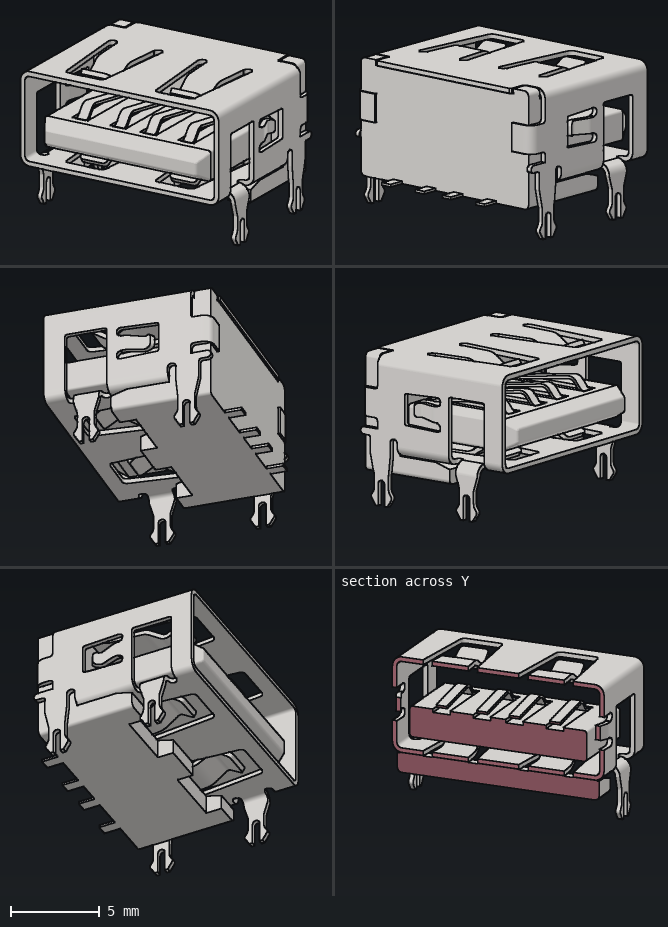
import cadquery as cq
import math


SHEET = 0.3
SHELL_WIDTH = 13.1
SHELL_HEIGHT = 5.7
SHELL_LENGTH = 10.0
SHELL_BOTTOM = 1.18
BEND_RADIUS = 0.3
SHELL_TOP = SHELL_BOTTOM + SHELL_HEIGHT
SHELL_MID_Z = (SHELL_BOTTOM + SHELL_TOP) / 2
SIDE_X = SHELL_WIDTH / 2
INNER_X = SIDE_X - SHEET
INNER_TOP = SHELL_TOP - SHEET
INNER_BOTTOM = SHELL_BOTTOM + SHEET
OUTER_RADIUS = BEND_RADIUS + SHEET
CLEAR = 1.0

LEG_HALF_WIDTH = 0.505
LEG_TIP_Z = -1.82
LEG_NECK_Z = -0.04
LEG_SLOT_RADIUS = 0.215
LEG_SLOT_TOP = -0.33
BARB_TOP_Z = -0.76
BARB_FLARE_Z = -1.055
BARB_FLARE = 0.094
BARB_FLARE_RADIUS = 0.515
BARB_UPPER_Z = -1.2
BARB_LOWER_Z = -1.39
BARB_SHOULDER_HALF = 0.7
BARB_HALF_WIDTH = 0.72
TIP_HALF_WIDTH = 0.42
LEG_PITCH = 6.0
FRONT_LEG_Y = 2.535
REAR_LEG_Y = FRONT_LEG_Y + LEG_PITCH
FRONT_LEG_BEND = 0.39
SHOULDER_HALF_WIDTH = 0.76

WINDOW_LENGTH = 2.5
WINDOW_TOP = 5.16
WINDOW_RADIUS = 0.15
NOTCH_RADIUS = (WINDOW_LENGTH / 2 - SHOULDER_HALF_WIDTH) / 2
NOTCH_X = 5.9

FLOOR_END_Y = 7.41
REAR_SLOT_RADIUS = 0.25
REAR_EDGE_TOP = 2.18
FINGER_TOP = 2.62
FINGER_CORNER = 0.15
REAR_TAPER_Z = 1.1
WRAP_BOTTOM = 3.25
WRAP_TOP = 4.92
WRAP_END_X = 5.11
NOTCH_FRONT_Y = 8.8
NOTCH_CORNER = 0.2
TOP_NOTCH_X = 5.02
TOP_NOTCH_CORNER = 0.12
TOP_EDGE_CHAMFER = 0.1

SPRING_X = 2.96
SLOT_FRONT_Y = 0.98
SLOT_REAR_Y = 6.78
SLOT_END_RADIUS = 0.265
SLOT_FRONT_HALF = 1.255
SLOT_REAR_HALF = 1.77
SLOT_CORNER = 0.27
SPRING_TIP_Y = 1.9
SPRING_TIP_HALF = 0.86
SPRING_ROOT_HALF = 1.24
SPRING_TIP_CORNER = 0.25
SPRING_KNEE_Y = 4.24
SPRING_PEAK_Y = 3.04
SPRING_PEAK = 0.76
SPRING_KNEE_RADIUS = 0.8
SPRING_PEAK_RADIUS = 0.25

SIDE_SPRING_Z = 4.02
SIDE_SLOT_FRONT_Y = 4.37
SIDE_SLOT_REAR_Y = 6.88
SIDE_SLOT_FRONT_HALF = 1.0
SIDE_SLOT_REAR_HALF = 0.91
SIDE_SLOT_CORNER = 0.12
SIDE_SLOT_END_RADIUS = 0.25
SIDE_SPRING_ROOT_HALF = 0.48
SIDE_SPRING_TIP_HALF = 0.38
SIDE_SPRING_TIP_Y = 6.5
SIDE_SPRING_TIP_CORNER = 0.2
SIDE_SPRING_KNEE_Y = 4.85
SIDE_SPRING_PEAK_Y = 5.97
SIDE_SPRING_PEAK = 0.46
SIDE_SPRING_TIP = 0.1
SIDE_SPRING_KNEE_RADIUS = 0.35
SIDE_SPRING_PEAK_RADIUS = 0.2

INSULATOR_BACK_Y = 9.88
INSULATOR_RADIUS = 0.3
CORNER_GAP = 0.1
LUG_FRONT_Y = 3.93
LUG_FRONT_TOP = 0.9
LUG_RAMP_END_Y = 4.89
LUG_POCKET_INNER_X = 1.2
LUG_POCKET_OUTER_X = 4.73
TONGUE_HALF_WIDTH = 5.48
TONGUE_BOTTOM = 2.2
TONGUE_TOP = 4.05
TONGUE_RADIUS = 0.2
TONGUE_TIP_Y = 0.05
TONGUE_TAPER_Y = 0.9
TONGUE_TAPER = 0.48
TONGUE_TIP_RADIUS = 0.19

CONTACT_X = (-3.5, -1.0, 1.0, 3.5)
CONTACT_WIDTH = 0.66
CONTACT_THICKNESS = 0.16
GROOVE_WIDTH = 1.04
GROOVE_FRONT_Y = 1.455
GROOVE_DEPTH = 0.2
CONTACT_PEAK_Y = 2.44
CONTACT_PEAK_Z = 4.765
CONTACT_FOOT_Y = 1.82
CONTACT_ROOT_Z = 4.03
CONTACT_FOOT_RADIUS = 0.3
CONTACT_PEAK_RADIUS = 0.45
TAIL_END_Y = 10.88


def box(x0, x1, y0, y1, z0, z1):
    """Block between the given limits."""
    return cq.Workplane("XY").box(x1 - x0, y1 - y0, z1 - z0, centered=False).translate((x0, y0, z0))


def both_sides(half):
    """A right-hand feature together with its mirror image on the left."""
    return half.union(half.mirror("YZ"))


def bent_sheet(plane, path, radii, thickness, start, end):
    """Sheet whose right-hand face follows `path`; `radii` are the inside radii of its bends."""
    headings = [math.atan2(q[1] - p[1], q[0] - p[0]) for p, q in zip(path, path[1:])]
    first_half = headings[:1] + headings
    second_half = headings + headings[-1:]
    far_side = []
    for (u, v), before, after in zip(path, first_half, second_half):
        normal = (before + after) / 2 + math.pi / 2
        miter = thickness / math.cos((after - before) / 2)
        far_side.append((u + miter * math.cos(normal), v + miter * math.sin(normal)))
    sheet = cq.Workplane(plane).workplane(offset=start)
    sheet = sheet.polyline(path + far_side[::-1]).close().extrude(end - start)
    base = cq.Plane.named(plane)
    middle = (start + end) / 2
    for i, radius in enumerate(radii, start=1):
        turns_left = headings[i] > headings[i - 1]
        near_radius = radius + thickness if turns_left else radius
        far_radius = radius if turns_left else radius + thickness
        for (u, v), fillet in ((path[i], near_radius), (far_side[i], far_radius)):
            corner = base.toWorldCoords((u, v, middle))
            sheet = sheet.edges(cq.selectors.NearestToPointSelector(corner.toTuple())).fillet(fillet)
    return sheet


def shell_tube():
    """Plain rectangular sleeve with bent corners."""
    outer = box(-SIDE_X, SIDE_X, 0, SHELL_LENGTH, SHELL_BOTTOM, SHELL_TOP).edges("|Y").fillet(OUTER_RADIUS)
    cavity = box(-INNER_X, INNER_X, 0, SHELL_LENGTH, INNER_BOTTOM, INNER_TOP).edges("|Y").fillet(BEND_RADIUS)
    return outer.cut(cavity)


def leg_outline_below_neck(outline, y):
    """Continue an outline down the front of a leg, around its split barbed tip and up its back."""
    barb_mid_z = (BARB_UPPER_Z + BARB_LOWER_Z) / 2
    flare_half = LEG_HALF_WIDTH + BARB_FLARE
    slot_end_z = LEG_SLOT_TOP - LEG_SLOT_RADIUS
    return (
        outline.lineTo(y - LEG_HALF_WIDTH, LEG_NECK_Z)
        .lineTo(y - LEG_HALF_WIDTH, BARB_TOP_Z)
        .radiusArc((y - flare_half, BARB_FLARE_Z), BARB_FLARE_RADIUS)
        .lineTo(y - BARB_SHOULDER_HALF, BARB_UPPER_Z)
        .threePointArc((y - BARB_HALF_WIDTH, barb_mid_z), (y - BARB_SHOULDER_HALF, BARB_LOWER_Z))
        .lineTo(y - TIP_HALF_WIDTH, LEG_TIP_Z)
        .lineTo(y - LEG_SLOT_RADIUS, LEG_TIP_Z)
        .lineTo(y - LEG_SLOT_RADIUS, slot_end_z)
        .threePointArc((y, LEG_SLOT_TOP), (y + LEG_SLOT_RADIUS, slot_end_z))
        .lineTo(y + LEG_SLOT_RADIUS, LEG_TIP_Z)
        .lineTo(y + TIP_HALF_WIDTH, LEG_TIP_Z)
        .lineTo(y + BARB_SHOULDER_HALF, BARB_LOWER_Z)
        .threePointArc((y + BARB_HALF_WIDTH, barb_mid_z), (y + BARB_SHOULDER_HALF, BARB_UPPER_Z))
        .lineTo(y + flare_half, BARB_FLARE_Z)
        .radiusArc((y + LEG_HALF_WIDTH, BARB_TOP_Z), BARB_FLARE_RADIUS)
        .lineTo(y + LEG_HALF_WIDTH, LEG_NECK_Z)
    )


def rear_side_plate():
    """Lower rear of one side: leg with a relief slot before it and a locating finger above it."""
    leg_front = FLOOR_END_Y + 2 * REAR_SLOT_RADIUS
    leg_back = REAR_LEG_Y + SHOULDER_HALF_WIDTH
    slot_z = REAR_EDGE_TOP - REAR_SLOT_RADIUS
    finger_radius = (FINGER_TOP - REAR_EDGE_TOP) / 2
    finger_y = SHELL_LENGTH - finger_radius
    outline = (
        cq.Workplane("YZ", origin=(INNER_X, 0, 0))
        .moveTo(FLOOR_END_Y, FINGER_TOP)
        .lineTo(FLOOR_END_Y, slot_z)
        .threePointArc((FLOOR_END_Y + REAR_SLOT_RADIUS, REAR_EDGE_TOP), (leg_front, slot_z))
        .lineTo(leg_front, REAR_TAPER_Z)
    )
    outline = (
        leg_outline_below_neck(outline, REAR_LEG_Y)
        .lineTo(leg_back, REAR_TAPER_Z)
        .lineTo(leg_back, REAR_EDGE_TOP - FINGER_CORNER)
        .radiusArc((leg_back + FINGER_CORNER, REAR_EDGE_TOP), FINGER_CORNER)
        .lineTo(finger_y, REAR_EDGE_TOP)
        .threePointArc((SHELL_LENGTH, REAR_EDGE_TOP + finger_radius), (finger_y, FINGER_TOP))
    )
    return outline.close().extrude(SHEET)


def front_leg():
    """Leg bent down from the shell floor."""
    root_x = NOTCH_X - 2 * NOTCH_RADIUS
    sheet = bent_sheet(
        "XZ",
        [(SIDE_X, LEG_TIP_Z), (SIDE_X, INNER_BOTTOM), (root_x, INNER_BOTTOM)],
        [FRONT_LEG_BEND],
        SHEET,
        -FRONT_LEG_Y - SHOULDER_HALF_WIDTH,
        -FRONT_LEG_Y + SHOULDER_HALF_WIDTH,
    )
    shoulder_z = SHELL_BOTTOM - FRONT_LEG_BEND
    outline = (
        cq.Workplane("YZ", origin=(root_x, 0, 0))
        .moveTo(FRONT_LEG_Y - SHOULDER_HALF_WIDTH, INNER_BOTTOM)
        .lineTo(FRONT_LEG_Y - SHOULDER_HALF_WIDTH, shoulder_z)
    )
    outline = (
        leg_outline_below_neck(outline, FRONT_LEG_Y)
        .lineTo(FRONT_LEG_Y + SHOULDER_HALF_WIDTH, shoulder_z)
        .lineTo(FRONT_LEG_Y + SHOULDER_HALF_WIDTH, INNER_BOTTOM)
    )
    return sheet.intersect(outline.close().extrude(SIDE_X - root_x))


def front_window():
    """Opening through one side and the floor edge, with round reliefs beside the front leg."""
    front = FRONT_LEG_Y - WINDOW_LENGTH / 2
    back = FRONT_LEG_Y + WINDOW_LENGTH / 2
    opening = box(NOTCH_X, SIDE_X + CLEAR, front, back, SHELL_BOTTOM - CLEAR, WINDOW_TOP)
    opening = opening.edges("|X and >Z").fillet(WINDOW_RADIUS)
    reliefs = (
        cq.Workplane("XY", origin=(NOTCH_X, 0, SHELL_BOTTOM - CLEAR))
        .pushPoints([(0, front + NOTCH_RADIUS), (0, back - NOTCH_RADIUS)])
        .circle(NOTCH_RADIUS)
        .extrude(CLEAR + OUTER_RADIUS)
    )
    return opening.union(reliefs)


def wrap_tab():
    """Tab of one side folded around the back corner of the insulator."""
    return bent_sheet(
        "XY",
        [(SIDE_X, NOTCH_FRONT_Y), (SIDE_X, SHELL_LENGTH), (WRAP_END_X, SHELL_LENGTH)],
        [BEND_RADIUS],
        SHEET,
        WRAP_BOTTOM,
        WRAP_TOP,
    )


def rear_notches():
    """Everything removed from the tube at the back of one side."""
    far_x = SIDE_X + CLEAR
    far_y = SHELL_LENGTH + CLEAR
    top = box(TOP_NOTCH_X, far_x, NOTCH_FRONT_Y, far_y, WRAP_TOP, SHELL_TOP + CLEAR)
    top = top.edges("|Z and <X and <Y").fillet(TOP_NOTCH_CORNER)
    top = top.edges("|X and <Y and <Z").fillet(NOTCH_CORNER)
    flare = (
        cq.Workplane("XY", origin=(0, 0, INNER_TOP))
        .moveTo(TOP_NOTCH_X, SHELL_LENGTH - TOP_EDGE_CHAMFER)
        .lineTo(TOP_NOTCH_X, SHELL_LENGTH)
        .lineTo(TOP_NOTCH_X - TOP_EDGE_CHAMFER, SHELL_LENGTH)
        .close()
        .extrude(SHEET)
    )
    low = box(INNER_X, far_x, NOTCH_FRONT_Y, far_y, FINGER_TOP, WRAP_BOTTOM)
    low = low.edges("|X and <Y and >Z").fillet(NOTCH_CORNER)
    corner = box(INNER_X, far_x, SHELL_LENGTH - OUTER_RADIUS, far_y, WRAP_BOTTOM, WRAP_TOP)
    return top.union(flare).union(low).union(corner)


def roof_spring_slot():
    """U-shaped slot that frees the spring to the right of the centre plane, in plan."""
    end_y = SLOT_REAR_Y - SLOT_END_RADIUS
    opening = (
        cq.Workplane("XY", origin=(SPRING_X, 0, INNER_TOP - CLEAR))
        .polyline([
            (-SLOT_FRONT_HALF, SLOT_FRONT_Y),
            (SLOT_FRONT_HALF, SLOT_FRONT_Y),
            (SLOT_REAR_HALF, end_y),
            (-SLOT_REAR_HALF, end_y),
        ])
        .close()
        .extrude(SHEET + 2 * CLEAR)
        .edges("|Z and <Y")
        .fillet(SLOT_CORNER)
    )
    ends = (
        cq.Workplane("XY", origin=(SPRING_X, end_y, INNER_TOP - CLEAR))
        .pushPoints([(-SLOT_REAR_HALF + SLOT_END_RADIUS, 0), (SLOT_REAR_HALF - SLOT_END_RADIUS, 0)])
        .circle(SLOT_END_RADIUS)
        .extrude(SHEET + 2 * CLEAR)
    )
    return opening.union(ends)


def roof_spring_plan():
    """Tapered plan of the roof spring, reaching back into the uncut roof."""
    return (
        cq.Workplane("XY", origin=(SPRING_X, 0, INNER_TOP - CLEAR))
        .polyline([
            (-SPRING_TIP_HALF, SPRING_TIP_Y),
            (SPRING_TIP_HALF, SPRING_TIP_Y),
            (SPRING_ROOT_HALF, SLOT_REAR_Y),
            (-SPRING_ROOT_HALF, SLOT_REAR_Y),
        ])
        .close()
        .extrude(SHEET + 2 * CLEAR)
    )


def roof_spring():
    """Spring blade bowed down into the cavity, with rounded tip corners."""
    sheet = bent_sheet(
        "YZ",
        [
            (SPRING_TIP_Y, INNER_TOP),
            (SPRING_PEAK_Y, INNER_TOP - SPRING_PEAK),
            (SPRING_KNEE_Y, INNER_TOP),
            (SLOT_REAR_Y, INNER_TOP),
        ],
        [SPRING_PEAK_RADIUS, SPRING_KNEE_RADIUS],
        SHEET,
        SPRING_X - SLOT_REAR_HALF,
        SPRING_X + SLOT_REAR_HALF,
    )
    blade = sheet.intersect(roof_spring_plan())
    return blade.faces("<Y").edges("not |X").fillet(SPRING_TIP_CORNER)


def side_spring_slot():
    """U-shaped slot that frees the spring in the right side."""
    end_y = SIDE_SLOT_FRONT_Y + SIDE_SLOT_END_RADIUS
    opening = (
        cq.Workplane("YZ", origin=(INNER_X - CLEAR, 0, SIDE_SPRING_Z))
        .polyline([
            (end_y, -SIDE_SLOT_FRONT_HALF),
            (SIDE_SLOT_REAR_Y, -SIDE_SLOT_REAR_HALF),
            (SIDE_SLOT_REAR_Y, SIDE_SLOT_REAR_HALF),
            (end_y, SIDE_SLOT_FRONT_HALF),
        ])
        .close()
        .extrude(SHEET + 2 * CLEAR)
        .edges("|X and >Y")
        .fillet(SIDE_SLOT_CORNER)
    )
    end_z = SIDE_SLOT_FRONT_HALF - SIDE_SLOT_END_RADIUS
    ends = (
        cq.Workplane("YZ", origin=(INNER_X - CLEAR, 0, SIDE_SPRING_Z))
        .pushPoints([(end_y, -end_z), (end_y, end_z)])
        .circle(SIDE_SLOT_END_RADIUS)
        .extrude(SHEET + 2 * CLEAR)
    )
    return opening.union(ends)


def side_spring():
    """Spring blade bowed inward from the right side, with rounded tip corners."""
    sheet = bent_sheet(
        "XY",
        [
            (INNER_X, SIDE_SLOT_FRONT_Y),
            (INNER_X, SIDE_SPRING_KNEE_Y),
            (INNER_X - SIDE_SPRING_PEAK, SIDE_SPRING_PEAK_Y),
            (INNER_X - SIDE_SPRING_TIP, SIDE_SPRING_TIP_Y),
        ][::-1],
        [SIDE_SPRING_PEAK_RADIUS, SIDE_SPRING_KNEE_RADIUS],
        SHEET,
        SIDE_SPRING_Z - SIDE_SLOT_FRONT_HALF,
        SIDE_SPRING_Z + SIDE_SLOT_FRONT_HALF,
    )
    plan = (
        cq.Workplane("YZ", origin=(INNER_X - CLEAR, 0, SIDE_SPRING_Z))
        .polyline([
            (SIDE_SLOT_FRONT_Y, -SIDE_SPRING_ROOT_HALF),
            (SIDE_SPRING_TIP_Y, -SIDE_SPRING_TIP_HALF),
            (SIDE_SPRING_TIP_Y, SIDE_SPRING_TIP_HALF),
            (SIDE_SLOT_FRONT_Y, SIDE_SPRING_ROOT_HALF),
        ])
        .close()
        .extrude(SHEET + 2 * CLEAR)
    )
    blade = sheet.intersect(plan)
    return blade.faces(">Y").edges("not |Z").fillet(SIDE_SPRING_TIP_CORNER)


def to_floor(roof_part):
    """Copy of a roof feature mirrored into the floor."""
    return roof_part.mirror("XY", (0, 0, SHELL_MID_Z))


def make_shell():
    shell = shell_tube()
    below_finger = box(-SIDE_X, SIDE_X, FLOOR_END_Y, SHELL_LENGTH, SHELL_BOTTOM, FINGER_TOP)
    shell = shell.cut(below_finger)
    roof_slot = roof_spring_slot()
    roof_blade = roof_spring()
    cuts = [rear_notches(), front_window(), side_spring_slot(), roof_slot, to_floor(roof_slot)]
    additions = [rear_side_plate(), front_leg(), wrap_tab(), side_spring(), roof_blade, to_floor(roof_blade)]
    for cut in cuts:
        shell = shell.cut(both_sides(cut))
    for addition in additions:
        shell = shell.union(both_sides(addition))
    return shell


def back_wall():
    """Wall that closes the back of the shell and reaches down to the board."""
    wall = box(-INNER_X, INNER_X, FLOOR_END_Y, INSULATOR_BACK_Y, 0, INNER_TOP)
    return wall.edges("|Y").fillet(INSULATOR_RADIUS)


def corner_block():
    """Raised corner that fills the roof notch of the shell, flush with the roof."""
    block = box(
        TOP_NOTCH_X + CORNER_GAP,
        INNER_X,
        NOTCH_FRONT_Y + CORNER_GAP,
        INSULATOR_BACK_Y,
        INNER_TOP - INSULATOR_RADIUS,
        SHELL_TOP,
    )
    block = block.edges("|Z and <X and <Y").fillet(TOP_NOTCH_CORNER)
    return block.edges("|Y and >X and >Z").fillet(INSULATOR_RADIUS)


def lugs():
    """Three ramped lugs under the shell floor."""
    base = (
        cq.Workplane("YZ", origin=(-INNER_X, 0, 0))
        .polyline([
            (LUG_FRONT_Y, 0),
            (LUG_FRONT_Y, LUG_FRONT_TOP),
            (LUG_RAMP_END_Y, SHELL_BOTTOM),
            (FLOOR_END_Y, SHELL_BOTTOM),
            (FLOOR_END_Y, 0),
        ])
        .close()
        .extrude(2 * INNER_X)
        .edges("|Y and <Z")
        .fillet(INSULATOR_RADIUS)
    )
    pocket = box(LUG_POCKET_INNER_X, LUG_POCKET_OUTER_X, LUG_FRONT_Y, LUG_RAMP_END_Y, 0, SHELL_BOTTOM)
    return base.cut(both_sides(pocket))


def tongue():
    """Tongue with a bevelled tip and one groove under each contact."""
    width = 2 * TONGUE_HALF_WIDTH
    height = TONGUE_TOP - TONGUE_BOTTOM
    middle = (TONGUE_TOP + TONGUE_BOTTOM) / 2
    body = box(-TONGUE_HALF_WIDTH, TONGUE_HALF_WIDTH, TONGUE_TAPER_Y, FLOOR_END_Y, TONGUE_BOTTOM, TONGUE_TOP)
    body = body.edges("|Y").fillet(TONGUE_RADIUS)
    tip = (
        cq.Workplane("XZ", origin=(0, TONGUE_TAPER_Y, middle))
        .rect(width, height)
        .workplane(offset=TONGUE_TAPER_Y - TONGUE_TIP_Y)
        .rect(width - 2 * TONGUE_TAPER, height - 2 * TONGUE_TAPER)
        .loft(ruled=True)
    )
    tip = tip.edges("not(|X or |Z)").fillet(TONGUE_RADIUS)
    tip = tip.faces("<Y").edges().fillet(TONGUE_TIP_RADIUS)
    body = body.union(tip)
    for x in CONTACT_X:
        groove = box(
            x - GROOVE_WIDTH / 2,
            x + GROOVE_WIDTH / 2,
            GROOVE_FRONT_Y,
            FLOOR_END_Y,
            TONGUE_TOP - GROOVE_DEPTH,
            TONGUE_TOP,
        )
        body = body.cut(groove)
    return body


def contact(x):
    """Sprung contact blade over its groove, and its solder tail at the back."""
    left = x - CONTACT_WIDTH / 2
    right = x + CONTACT_WIDTH / 2
    groove_floor = TONGUE_TOP - GROOVE_DEPTH
    blade = bent_sheet(
        "YZ",
        [
            (GROOVE_FRONT_Y, groove_floor),
            (CONTACT_FOOT_Y, groove_floor),
            (CONTACT_PEAK_Y, CONTACT_PEAK_Z - CONTACT_THICKNESS),
            (FLOOR_END_Y, CONTACT_ROOT_Z - CONTACT_THICKNESS),
        ],
        [CONTACT_FOOT_RADIUS, CONTACT_PEAK_RADIUS],
        CONTACT_THICKNESS,
        left,
        right,
    )
    tail = box(left, right, INSULATOR_BACK_Y, TAIL_END_Y, 0, CONTACT_THICKNESS)
    return blade.union(tail)


def make_insulator():
    insulator = back_wall().union(both_sides(corner_block())).union(lugs()).union(tongue())
    for x in CONTACT_X:
        insulator = insulator.union(contact(x))
    return insulator.cut(both_sides(wrap_tab()))


shell = make_shell()
insulator = make_insulator()
result = cq.Compound.makeCompound([*shell.vals(), *insulator.vals()])